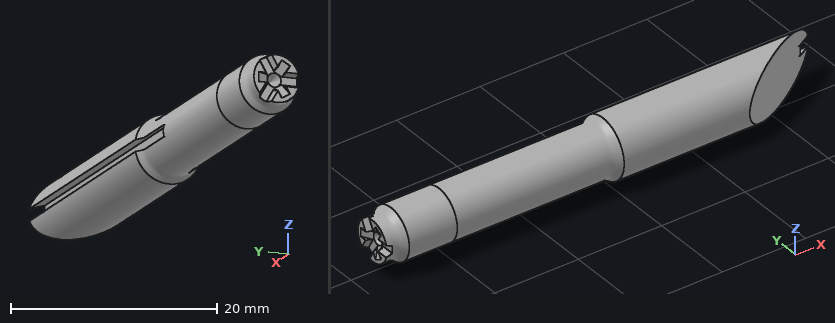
import cadquery as cq
import math

length_to_sharp_tip = 54.85
head_radius = 3.5
shaft_radius = 3.0
nose_radius = 2.4
joint_x = 8.0

nose_blend_start = 1.05
nose_cone_start = 1.6
nose_cone_end = 2.25
head_blend_start = 26.5
head_cone_start = 27.0
head_cone_end = 27.65
blend_share = 0.25

bevel_angle = 30.0
keyway_width = 1.2
keyway_start_x = 21.6
keyway_floor_y = 2.5

recess_count = 3
recess_spacing = 360.0 / recess_count
recess_depth = 0.65
slot_top_width = 1.4
slot_floor_width = 0.8
pocket_width = 1.0
pocket_reach = 1.9
center_hole_radius = 0.7
center_cone_depth = 1.2


def add_shoulder(outline, blend_start, cone_start, cone_end, small_radius, large_radius):
    """Continue a half profile along a concave blend and the cone after it."""
    blend_end_radius = small_radius + blend_share * (large_radius - small_radius)
    return (
        outline.lineTo(blend_start, small_radius)
        .spline(
            [(cone_start, blend_end_radius)],
            tangents=[(1, 0), (cone_end - cone_start, large_radius - blend_end_radius)],
            includeCurrent=True,
        )
        .lineTo(cone_end, large_radius)
    )


def revolve_about_axis(outline):
    """Close a half profile in the XY plane and turn it about the X axis."""
    return outline.close().revolve(360, (0, 0, 0), (1, 0, 0))


def make_slot():
    """Radial slot with sloping walls, floor toward +X, running out along -Y."""
    half_top = slot_top_width / 2
    half_floor = slot_floor_width / 2
    return (
        cq.Workplane("XZ")
        .moveTo(0, -half_top)
        .lineTo(recess_depth, -half_floor)
        .lineTo(recess_depth, half_floor)
        .lineTo(0, half_top)
        .close()
        .extrude(shaft_radius)
    )


def make_pocket():
    """Wedge pocket along +Y whose floor rises from the center to the nose face."""
    return (
        cq.Workplane("XY")
        .moveTo(0, 0)
        .lineTo(recess_depth, 0)
        .lineTo(recess_depth, center_hole_radius)
        .lineTo(0, pocket_reach)
        .close()
        .extrude(pocket_width / 2, both=True)
    )


def make_nose():
    """Stepped nose piece with a conical center hole, three slots and three pockets."""
    outline = cq.Workplane("XY").lineTo(0, nose_radius)
    outline = add_shoulder(
        outline, nose_blend_start, nose_cone_start, nose_cone_end, nose_radius, shaft_radius
    )
    nose = revolve_about_axis(outline.lineTo(joint_x, shaft_radius).lineTo(joint_x, 0))

    center_hole = revolve_about_axis(
        cq.Workplane("XY")
        .lineTo(0, center_hole_radius)
        .lineTo(recess_depth, center_hole_radius)
        .lineTo(recess_depth + center_cone_depth, 0)
    )
    nose = nose.cut(center_hole)

    slot = make_slot()
    pocket = make_pocket()
    for index in range(recess_count):
        turn = index * recess_spacing
        nose = nose.cut(slot.rotate((0, 0, 0), (1, 0, 0), turn))
        nose = nose.cut(pocket.rotate((0, 0, 0), (1, 0, 0), turn))
    return nose


def make_pin():
    """Shaft and larger head, bevelled to a point at +Y, with a keyway along the +Y side."""
    outline = cq.Workplane("XY").moveTo(joint_x, 0).lineTo(joint_x, shaft_radius)
    outline = add_shoulder(
        outline, head_blend_start, head_cone_start, head_cone_end, shaft_radius, head_radius
    )
    pin = revolve_about_axis(
        outline.lineTo(length_to_sharp_tip, head_radius).lineTo(length_to_sharp_tip, 0)
    )

    bevel_length = 2 * head_radius / math.tan(math.radians(bevel_angle))
    bevel = (
        cq.Workplane("XY")
        .moveTo(length_to_sharp_tip, head_radius)
        .lineTo(length_to_sharp_tip - bevel_length, -head_radius)
        .lineTo(length_to_sharp_tip, -head_radius)
        .close()
        .extrude(head_radius, both=True)
    )
    keyway = cq.Workplane("XY").box(
        length_to_sharp_tip - keyway_start_x,
        head_radius - keyway_floor_y,
        keyway_width,
        centered=(False, False, True),
    ).translate((keyway_start_x, keyway_floor_y, 0))
    return pin.cut(bevel).cut(keyway)


nose = make_nose()
pin = make_pin()
result = cq.Compound.makeCompound([nose.val(), pin.val()])